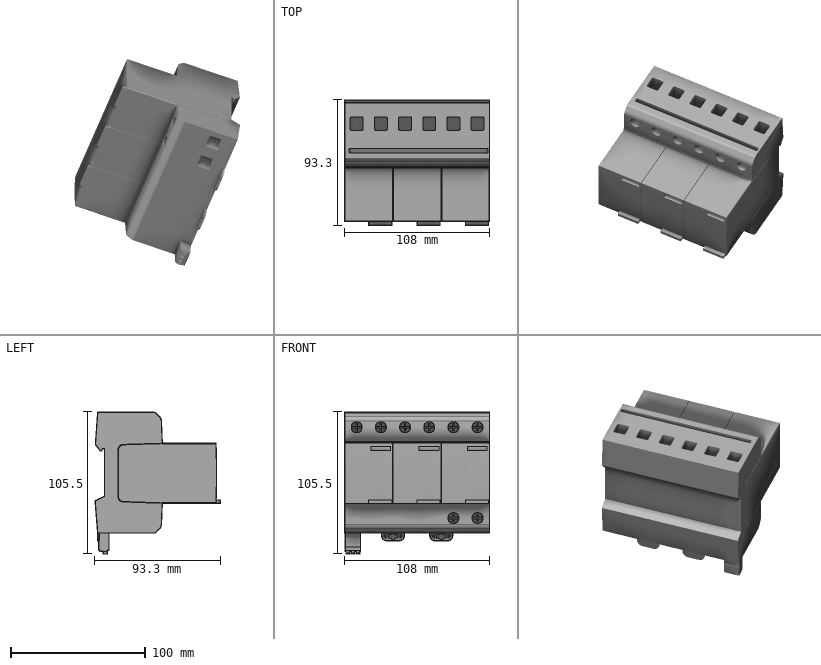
import cadquery as cq


width = 108.0
half_height = 45.0
back_rise = 5.1
back_bulge = 7.0
upper_bulge_rise = 6.8
bulge_z = 21.0
hook_bottom_z = 16.0
hook_tip_y = 2.9
hook_lip_y = 1.7
hook_root_z = 17.7
foot_root_z = -17.6
back_edge_chamfer = 0.3
top_front_y = -37.0
first_facet_y = -37.9
first_facet_z = 44.7
second_facet_y = -38.7
second_facet_z = 44.2
corner_front_y = -42.4
corner_front_z = 40.4
corner_front_fillet = 4.8
front_y = -43.2
lip_depth = 0.3
lip_height = 1.3

module_count = 3
module_pitch = width / module_count
module_top = 21.9
module_bottom = -22.8
module_mid_z = (module_top + module_bottom) / 2
module_front_y = -83.2
module_bulge = 0.4
module_gap = 0.4
module_edge_chamfer = 0.4

socket_back_y = -10.2
socket_back_top = 21.0
socket_back_bottom = -21.7
socket_corner = 4.0
seam_width = 0.3
seam_depth = 0.2

tab_width = 17.2
tab_height = 2.6
tab_front_y = -86.3
tab_root_y = -82.6
tab_offset = 8.5
slot_width = 14.7
slot_height = 3.0
slot_depth = 2.2
slot_offset = 8.9
slot_mid_z = 17.9

terminal_count = 6
terminal_pitch = width / terminal_count
lower_terminals = (4, 5)
screw_diameter = 8.1
screw_z = 33.8
screw_head_y = -30.2
drive_depth = 1.1
drive_long = screw_diameter
drive_long_width = 1.3
drive_short = 5.3
drive_short_width = 1.0
entry_width = 9.6
entry_length = 9.9
entry_corner = 1.1
entry_mid_y = -10.6
entry_depth = 15.1

channel_left = -50.5
channel_right = 52.7
channel_width = 3.6
channel_mid_y = -30.8
channel_depth = 4.3
channel_corner = 0.9

clip_centres = (-module_pitch / 2, module_pitch / 2)
clip_width = 17.3
clip_drop = 5.8
clip_front_y = 3.8
clip_back_y = 5.1
clip_corner = 4.3
clip_pocket_depth = 0.6
clip_pocket_drop = 2.5
clip_window_width = 6.8
clip_window_height = 2.6
clip_window_bore = 4.3
clip_side_inner = 5.1
clip_side_outer = 6.8
clip_side_height = 2.2
clip_side_bevel = 1.3

plug_left = -53.7
plug_width = 11.7
plug_front_y = -3.6
plug_back_y = 4.2
plug_overlap = 1.1
plug_drop = 13.5
plug_front_drop = 12.9
plug_step_y = -2.2
plug_back_chamfer = 0.9
plug_seam_drop = 10.3
plug_seam_depth = 0.1
plug_notch_depth = 0.4
plug_notch_drop = 4.8
pin_count = 3
pin_pitch = 3.8
pin_width = 2.7
pin_back_y = 0.9
pin_drop = 15.5
pin_notch_width = 1.1
pin_notch_height = 0.4


def box(x_range, y_range, z_range):
    """Box spanning the given (start, end) ranges."""
    spans = (x_range, y_range, z_range)
    sizes = [end - start for start, end in spans]
    corner = tuple(start for start, end in spans)
    return cq.Workplane("XY").box(*sizes, centered=False).translate(corner)


def span(centre, size):
    return (centre - size / 2, centre + size / 2)


def extrude_x(profile, length):
    """Extrude a (Y, Z) profile symmetrically across X = 0."""
    return profile.extrude(length / 2, both=True)


def front_plane(y):
    """Plane facing +Y at the given y, with local x along -X and local y along Z."""
    return cq.Workplane(cq.Plane(origin=(0, y, 0), xDir=(-1, 0, 0), normal=(0, 1, 0)))


def terminal_x(index):
    return (index + 0.5) * terminal_pitch - width / 2


def module_x(index):
    return (index + 0.5) * module_pitch - width / 2


def make_housing():
    outline = [
        (back_rise - back_edge_chamfer, half_height),
        (back_rise, half_height - back_edge_chamfer),
        (upper_bulge_rise, bulge_z),
        (hook_tip_y, hook_bottom_z),
        (hook_lip_y, hook_bottom_z),
        (hook_lip_y, hook_root_z),
        (0, hook_root_z),
        (0, foot_root_z),
        (back_bulge, -bulge_z),
        (back_rise, -half_height),
        (top_front_y, -half_height),
        (first_facet_y, -first_facet_z),
        (second_facet_y, -second_facet_z),
        (corner_front_y, -corner_front_z),
        (front_y, module_bottom),
        (front_y, module_top),
        (corner_front_y, corner_front_z),
        (second_facet_y, second_facet_z),
        (first_facet_y, first_facet_z),
        (top_front_y, half_height),
    ]
    body = extrude_x(cq.Workplane("YZ").polyline(outline).close(), width)

    for corner_z in (corner_front_z, -corner_front_z):
        corner = cq.selectors.NearestToPointSelector((0, corner_front_y, corner_z))
        body = body.edges(corner).fillet(corner_front_fillet)
    return body


def make_lip():
    """Small sloping ridge on the housing front, just above the modules."""
    lip = cq.Workplane("YZ").polyline([
        (front_y + lip_depth, module_top),
        (front_y - lip_depth, module_top),
        (front_y - lip_depth, module_top + lip_height / 2),
        (front_y, module_top + lip_height),
        (front_y + lip_depth, module_top + lip_height),
    ]).close()
    return extrude_x(lip, width)


def make_socket(inset):
    """Full-width block with the outline of the module socket, shrunk by the given inset."""
    back_y = socket_back_y - inset
    back_top = socket_back_top - inset
    back_bottom = socket_back_bottom + inset
    socket = extrude_x(cq.Workplane("YZ").polyline([
        (front_y, module_top - inset),
        (back_y, back_top),
        (back_y, back_bottom),
        (front_y, module_bottom + inset),
    ]).close(), width)
    for back_z in (back_top, back_bottom):
        corner = cq.selectors.NearestToPointSelector((0, back_y, back_z))
        socket = socket.edges(corner).fillet(socket_corner - inset)
    return socket


def make_seams():
    """Shallow grooves in both end faces, around the modules where they sit in the housing."""
    core = box(
        span(0, width - 2 * seam_depth), (front_y, 0), (-half_height, half_height)
    )
    return make_socket(0).cut(make_socket(seam_width)).cut(core)


def make_modules():
    """Bulged module block, split by gaps, with a tab and a finger slot on each module."""
    profile = (
        cq.Workplane("YZ")
        .moveTo(0, module_top)
        .lineTo(module_front_y, module_top)
        .threePointArc((module_front_y - module_bulge, module_mid_z), (module_front_y, module_bottom))
        .lineTo(0, module_bottom)
        .close()
    )
    block = extrude_x(profile, width).edges("|Y").chamfer(module_edge_chamfer)

    for index in range(1, module_count):
        gap_x = index * module_pitch - width / 2
        gap_front = module_front_y - 2 * module_bulge
        block = block.cut(box(
            span(gap_x, module_gap), (gap_front, front_y - lip_depth), (module_bottom, module_top)
        ))

    for index in range(module_count):
        tab_x = span(module_x(index) + tab_offset, tab_width)
        tab_z = (module_bottom, module_bottom + tab_height)
        block = block.union(box(tab_x, (tab_front_y, tab_root_y), tab_z))
        slot_x = span(module_x(index) + slot_offset, slot_width)
        slot_y = (module_front_y - module_bulge, module_front_y + slot_depth)
        block = block.cut(box(slot_x, slot_y, span(slot_mid_z, slot_height)))
    return block


def make_screw_hole(x, z):
    """Screw access bore that ends in a cross-recessed screw head."""
    bore = front_plane(front_y - lip_depth).center(-x, z).circle(screw_diameter / 2)
    bore = bore.extrude(screw_head_y - front_y + lip_depth)
    drive_y = (screw_head_y, screw_head_y + drive_depth)
    long_slot = box(span(x, drive_long), drive_y, span(z, drive_long_width))
    short_slot = box(span(x, drive_short_width), drive_y, span(z, drive_short))
    round_limit = front_plane(screw_head_y).center(-x, z).circle(screw_diameter / 2).extrude(drive_depth)
    return bore.union(long_slot.union(short_slot).intersect(round_limit))


def make_wire_entry(x, side):
    """Square wire entry in the top (side = 1) or bottom (side = -1) face."""
    mid_z = side * (half_height - entry_depth / 2)
    entry = cq.Workplane("XY").box(entry_width, entry_length, entry_depth)
    return entry.edges("|Z").fillet(entry_corner).translate((x, entry_mid_y, mid_z))


def make_label_channel():
    channel = box(
        (channel_left, channel_right),
        span(channel_mid_y, channel_width),
        (half_height - channel_depth, half_height),
    )
    return channel.edges("|Z").fillet(channel_corner)


def make_clip(x):
    """Rounded rail clip below the housing, with shallow pockets in its front face."""
    top_z = -bulge_z
    bottom_z = -half_height - clip_drop
    clip = box(span(x, clip_width), (clip_front_y, clip_back_y), (bottom_z, top_z))
    clip = clip.edges("|Y and <Z").fillet(clip_corner)

    pocket_z = -half_height - clip_pocket_drop
    face = front_plane(clip_front_y).center(-x, pocket_z)
    pockets = face.rect(clip_window_width, clip_window_height).extrude(clip_pocket_depth)
    pockets = pockets.union(face.circle(clip_window_bore / 2).extrude(clip_pocket_depth))
    for side in (1, -1):
        outer = side * clip_side_outer
        inner = side * clip_side_inner
        half = clip_side_height / 2
        side_pocket = face.polyline([
            (inner, half),
            (outer, half),
            (outer, clip_side_bevel - half),
            (outer - side * clip_side_bevel, -half),
            (inner, -half),
        ]).close()
        pockets = pockets.union(side_pocket.extrude(clip_pocket_depth))
    return clip.cut(pockets)


def make_plug():
    """Signal connector hanging below the housing, with three notched pins."""
    top_z = -half_height
    root_z = top_z + plug_overlap
    seam_y = plug_front_y + plug_seam_depth
    recess_y = plug_back_y - plug_notch_depth
    outline = [
        (plug_front_y, root_z),
        (plug_front_y, top_z - plug_seam_drop),
        (seam_y, top_z - plug_seam_drop),
        (seam_y, top_z - plug_front_drop),
        (plug_step_y, top_z - plug_front_drop),
        (plug_step_y, top_z - plug_drop),
        (plug_back_y - plug_back_chamfer, top_z - plug_drop),
        (plug_back_y, top_z - plug_drop + plug_back_chamfer),
        (plug_back_y, top_z - plug_notch_drop),
        (recess_y, top_z - plug_notch_drop),
        (recess_y, root_z),
    ]
    plug = cq.Workplane("YZ").polyline(outline).close().extrude(plug_width)
    plug = plug.translate((plug_left, 0, 0))

    pin_y = (plug_step_y, pin_back_y)
    pin_bottom = top_z - pin_drop
    for index in range(pin_count):
        pin_x = plug_left + plug_width / 2 + (index - (pin_count - 1) / 2) * pin_pitch
        pin = box(span(pin_x, pin_width), pin_y, (pin_bottom, top_z - plug_front_drop))
        notch_z = (pin_bottom, pin_bottom + pin_notch_height)
        plug = plug.union(pin.cut(box(span(pin_x, pin_notch_width), pin_y, notch_z)))
    return plug


part = make_housing().union(make_lip()).union(make_modules()).cut(make_seams())

for index in range(terminal_count):
    part = part.cut(make_screw_hole(terminal_x(index), screw_z))
    part = part.cut(make_wire_entry(terminal_x(index), 1))
for index in lower_terminals:
    part = part.cut(make_screw_hole(terminal_x(index), -screw_z))
    part = part.cut(make_wire_entry(terminal_x(index), -1))
part = part.cut(make_label_channel())

for clip_x in clip_centres:
    part = part.union(make_clip(clip_x))

result = part.union(make_plug())